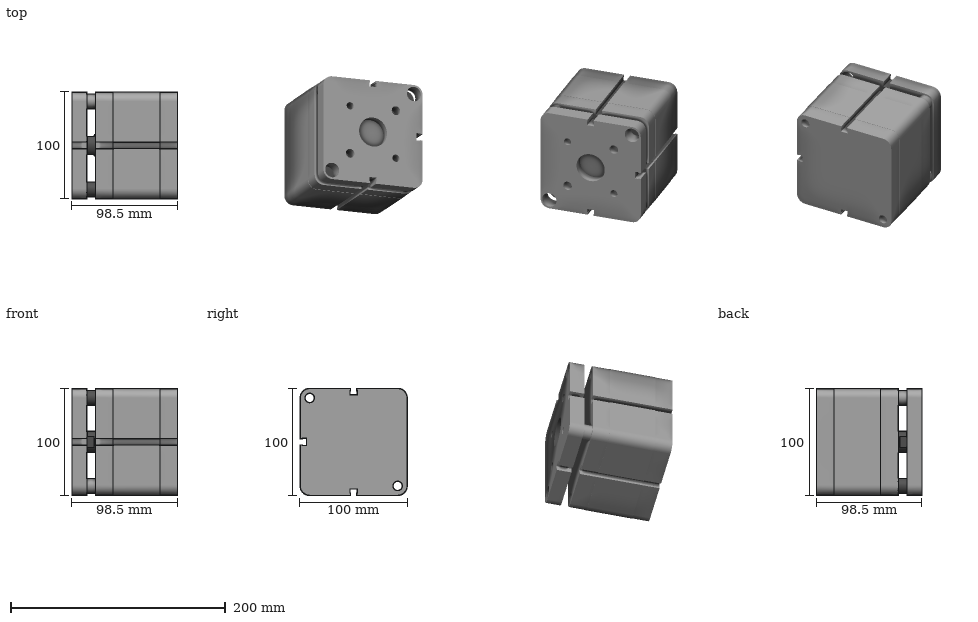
import cadquery as cq

BODY_SIZE = 100.0
CORNER_RADIUS = 9.0
COVER_INSET = 0.25

PLATE_THICKNESS = 14.0
GAP = 8.0
COVER_LENGTH = 16.5
MIDDLE_LENGTH = 43.5

PLATE_REAR = PLATE_THICKNESS
HOUSING_FRONT = PLATE_REAR + GAP
MIDDLE_START = HOUSING_FRONT + COVER_LENGTH
MIDDLE_END = MIDDLE_START + MIDDLE_LENGTH

SLOT_MOUTH = 5.5
SLOT_WIDTH = 6.5
SLOT_LIP = 2.5
SLOT_DEPTH = 5.9
SLOT_SIDES = (0, 90, 180)

CORNER_OFFSET = BODY_SIZE / 2 - CORNER_RADIUS
ROD_CORNERS = [(CORNER_OFFSET, CORNER_OFFSET), (-CORNER_OFFSET, -CORNER_OFFSET)]
SCREW_CORNERS = [(-CORNER_OFFSET, CORNER_OFFSET), (CORNER_OFFSET, -CORNER_OFFSET)]
GUIDE_ROD_DIAMETER = 14.0
SCREW_ACCESS_DIAMETER = 14.0
SCREW_HOLE_DIAMETER = 8.5

RECESS_DIAMETER = 28.0
RECESS_DEPTH = 9.0
MOUNT_OFFSET = 23.0
LARGE_MOUNTS = [(-MOUNT_OFFSET, MOUNT_OFFSET), (MOUNT_OFFSET, -MOUNT_OFFSET)]
SMALL_MOUNTS = [(MOUNT_OFFSET, MOUNT_OFFSET), (-MOUNT_OFFSET, -MOUNT_OFFSET)]
LARGE_MOUNT_DIAMETER = 8.5
SMALL_MOUNT_DIAMETER = 7.0

PISTON_ROD_DIAMETER = 20.0
PISTON_ROD_CHAMFER = 0.5
ACROSS_FLATS = 17.0
FLAT_LENGTH = 6.7
FLAT_RUNOUT = 0.3


def plane_at(x):
    """YZ plane at the given X; its local axes are Y and Z."""
    return cq.Workplane("YZ", origin=(x, 0, 0))


def cylinders(centres, diameter, start, length):
    """Round bars along +X at the given (Y, Z) centres."""
    return plane_at(start).pushPoints(centres).circle(diameter / 2).extrude(length)


def slot_cutter(start, length, inset):
    """T-slot in the +Z side, with its walls moved into the metal by the inset."""
    half_side = BODY_SIZE / 2
    mouth = SLOT_MOUTH + 2 * inset
    width = SLOT_WIDTH + 2 * inset
    floor = half_side - SLOT_DEPTH - inset
    lip = half_side - SLOT_LIP + inset
    section = plane_at(start)
    channel = section.center(0, (floor + lip) / 2).rect(width, lip - floor).extrude(length)
    opening = section.center(0, (floor + half_side) / 2).rect(mouth, half_side - floor).extrude(length)
    return channel.union(opening)


def slotted_block(start, length, inset):
    """Square block with rounded edges and T-slots; the inset shrinks its whole outline."""
    side = BODY_SIZE - 2 * inset
    block = plane_at(start).rect(side, side).extrude(length).edges("|X").fillet(CORNER_RADIUS - inset)
    cutter = slot_cutter(start, length, inset)
    for angle in SLOT_SIDES:
        block = block.cut(cutter.rotate((0, 0, 0), (1, 0, 0), angle))
    return block


def make_yoke_plate():
    plate = slotted_block(0, PLATE_THICKNESS, COVER_INSET)
    plate = plate.cut(cylinders(SCREW_CORNERS, SCREW_ACCESS_DIAMETER, 0, PLATE_THICKNESS))
    plate = plate.cut(cylinders(LARGE_MOUNTS, LARGE_MOUNT_DIAMETER, 0, PLATE_THICKNESS))
    plate = plate.cut(cylinders(SMALL_MOUNTS, SMALL_MOUNT_DIAMETER, 0, PLATE_THICKNESS))
    return plate.cut(cylinders([(0, 0)], RECESS_DIAMETER, 0, RECESS_DEPTH))


def make_housing():
    front_cover = slotted_block(HOUSING_FRONT, COVER_LENGTH, COVER_INSET)
    middle = slotted_block(MIDDLE_START, MIDDLE_LENGTH, 0)
    rear_cover = slotted_block(MIDDLE_END, COVER_LENGTH, COVER_INSET)
    housing = front_cover.union(middle).union(rear_cover)
    housing_length = 2 * COVER_LENGTH + MIDDLE_LENGTH
    return housing.cut(cylinders(SCREW_CORNERS, SCREW_HOLE_DIAMETER, HOUSING_FRONT, housing_length))


def make_piston_rod():
    """Rod filling the gap, chamfered at the plate, with wrench flats facing -Y and +Y."""
    rod = cylinders([(0, 0)], PISTON_ROD_DIAMETER, PLATE_REAR, GAP)
    rod = rod.faces("<X").edges().chamfer(PISTON_ROD_CHAMFER)
    half_flats = ACROSS_FLATS / 2
    rod_radius = PISTON_ROD_DIAMETER / 2
    flats_end = PLATE_REAR + FLAT_LENGTH
    runout_end = flats_end + FLAT_RUNOUT
    flats_profile = [
        (PLATE_REAR, -half_flats),
        (flats_end, -half_flats),
        (runout_end, -rod_radius),
        (HOUSING_FRONT, -rod_radius),
        (HOUSING_FRONT, rod_radius),
        (runout_end, rod_radius),
        (flats_end, half_flats),
        (PLATE_REAR, half_flats),
    ]
    flats = cq.Workplane("XY").polyline(flats_profile).close().extrude(rod_radius, both=True)
    return rod.intersect(flats)


def make_guide_rod(corner):
    return cylinders([corner], GUIDE_ROD_DIAMETER, PLATE_REAR, GAP)


yoke_plate = make_yoke_plate()
housing = make_housing()
piston_rod = make_piston_rod()
guide_rods = [make_guide_rod(corner) for corner in ROD_CORNERS]

result = cq.Compound.makeCompound(
    [yoke_plate.val(), housing.val(), piston_rod.val(), *[rod.val() for rod in guide_rods]]
)